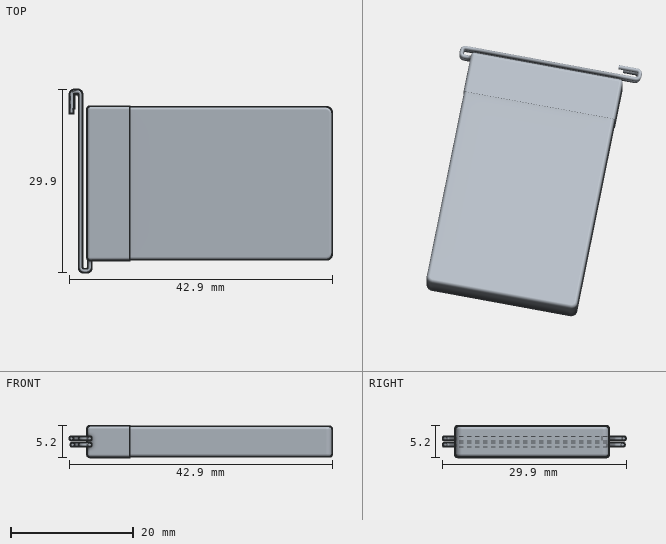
import cadquery as cq

length, total_width, height = 42.85, 29.9, 5.2

cap_x = 2.85
cap_front = 2.0
cap_back = 2.75
cap_length = 6.95
cap_width = total_width - cap_front - cap_back
cap_fillet = 0.5
cap_step = 0.1
body_width = cap_width - 2 * cap_step
body_height = height - 2 * cap_step
body_corner = 1.03
body_fillet = 0.5

wire_diameter = 0.7
wire_radius = wire_diameter / 2
bend_radius = 0.55
lead_pitch = 1.5
lead_z = 0.5
root_depth = 0.85
tail_length = 3.05
lower_inset = 0.15
lower_tail_length = 2.1


def make_block(x_start, x_end, width, thickness):
    """Box between two X positions, centred on the cap in Y and on Z = 0."""
    y_start = cap_front + (cap_width - width) / 2
    block = cq.Workplane("XY").box(x_end - x_start, width, thickness, centered=(False, False, True))
    return block.translate((x_start, y_start, 0))


def make_lead(z, hook_inset, tail):
    """Round wire: out of the cap, along its -X face and back in a hook."""
    tail_x = wire_radius + hook_inset
    run_x = wire_radius + lead_pitch
    root_x = run_x + lead_pitch
    low_y = wire_radius
    high_y = total_width - wire_radius - hook_inset
    r = bend_radius
    diagonal = r * (1 - 0.5 ** 0.5)

    path = (
        cq.Workplane("XY", origin=(0, 0, z))
        .moveTo(root_x, cap_front + root_depth)
        .lineTo(root_x, low_y + r)
        .threePointArc((root_x - diagonal, low_y + diagonal), (root_x - r, low_y))
        .lineTo(run_x + r, low_y)
        .threePointArc((run_x + diagonal, low_y + diagonal), (run_x, low_y + r))
        .lineTo(run_x, high_y - r)
        .threePointArc((run_x - diagonal, high_y - diagonal), (run_x - r, high_y))
        .lineTo(tail_x + r, high_y)
        .threePointArc((tail_x + diagonal, high_y - diagonal), (tail_x, high_y - r))
        .lineTo(tail_x, high_y - r - tail)
    )
    section = cq.Workplane("XZ", origin=(root_x, cap_front + root_depth, z)).circle(wire_radius)
    return section.sweep(path)


cap_end = cap_x + cap_length
cap = make_block(cap_x, cap_end, cap_width, height)
cap = cap.edges("|X or <X").fillet(cap_fillet)

body = make_block(cap_end, length, body_width, body_height)
body = body.edges("|Z and >X").fillet(body_corner)
body = body.faces("|Z").edges("not <X").fillet(body_fillet)

upper_lead = make_lead(lead_z, 0, tail_length)
lower_lead = make_lead(-lead_z, lower_inset, lower_tail_length)

result = cap.union(body).union(upper_lead).union(lower_lead)